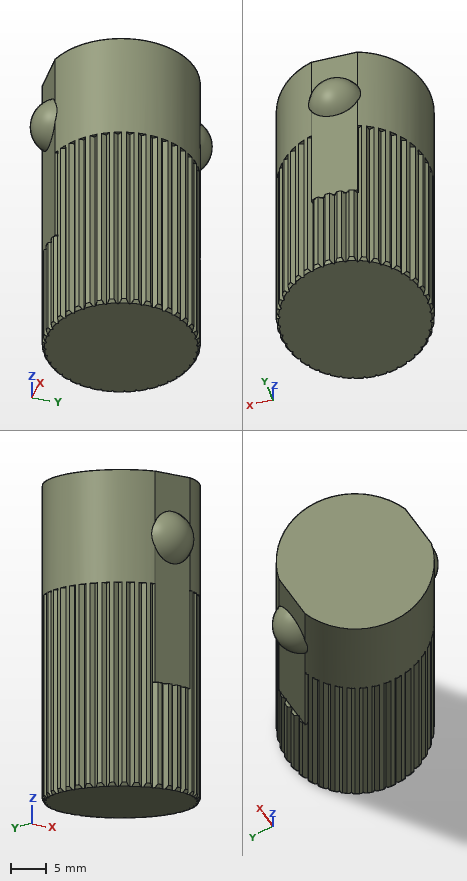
import cadquery as cq
import math

length = 45.0
body_radius = 11.002
chamfer_height = 0.5
chamfer_inset = 0.3

groove_count = 40
groove_top = 29.0
groove_width = 1.1
groove_depth = 0.55

flat_distance = 10.5
flat_bottom = 15.0

ball_radius = 4.0
ball_tip = 13.0
ball_height = 36.0

overlap = 0.45


def make_body():
    """Cylinder standing on Z = 0 with a steep chamfer around its lower rim."""
    half_profile = (
        cq.Workplane("XZ")
        .lineTo(body_radius - chamfer_inset, 0)
        .lineTo(body_radius, chamfer_height)
        .lineTo(body_radius, length)
        .lineTo(0, length)
        .close()
    )
    return half_profile.revolve()


def make_grooves():
    """Ring of triangular cutters, the first one pointing along -Y."""
    half_width = groove_width / 2
    mouth_distance = math.sqrt(body_radius**2 - half_width**2)
    apex_distance = body_radius - groove_depth
    flank_slope = half_width / (mouth_distance - apex_distance)
    outer_distance = body_radius + overlap
    outer_half_width = flank_slope * (outer_distance - apex_distance)
    cutter = (
        cq.Workplane("XY")
        .moveTo(0, -apex_distance)
        .lineTo(-outer_half_width, -outer_distance)
        .lineTo(outer_half_width, -outer_distance)
        .close()
        .extrude(groove_top)
        .val()
    )
    pitch_angle = 360 / groove_count
    axis_start = cq.Vector(0, 0, 0)
    axis_end = cq.Vector(0, 0, 1)
    return [cutter.rotate(axis_start, axis_end, i * pitch_angle) for i in range(groove_count)]


def make_flat_core():
    """Solid block between the flats that closes the grooves across their width."""
    half_width = math.sqrt(body_radius**2 - flat_distance**2)
    return (
        cq.Workplane("XY", origin=(0, 0, flat_bottom))
        .rect(2 * half_width, 2 * flat_distance)
        .extrude(groove_top - flat_bottom)
    )


def make_flat_cutter(side):
    """Block that removes everything beyond the flat on the given Y side (+1 or -1)."""
    depth = body_radius + overlap - flat_distance
    height = length - flat_bottom + overlap
    return (
        cq.Workplane("XY", origin=(0, side * (flat_distance + depth / 2), flat_bottom))
        .rect(2 * body_radius, depth)
        .extrude(height)
    )


def make_ball(side):
    """Ball whose tip stands out of the flat on the given Y side."""
    center_distance = ball_tip - ball_radius
    return cq.Workplane("XY", origin=(0, side * center_distance, ball_height)).sphere(ball_radius)


body = cq.Workplane(make_body().val().cut(*make_grooves()))
for side in (-1, 1):
    body = body.cut(make_flat_cutter(side))
body = body.union(make_flat_core())
for side in (-1, 1):
    body = body.union(make_ball(side))

result = body